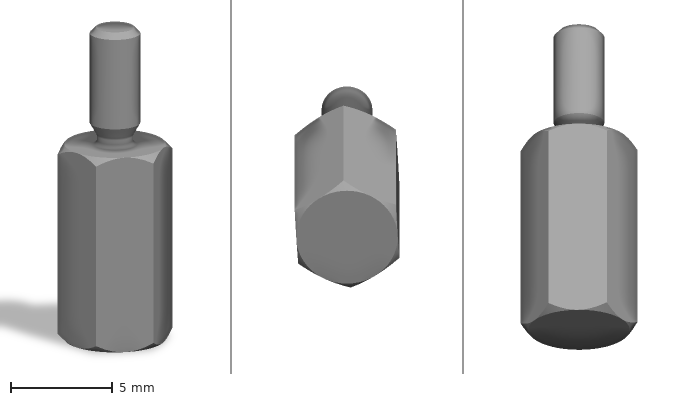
import cadquery as cq
import math

across_flats = 5.0
body_length = 10.0
across_corners = across_flats / math.cos(math.radians(30))
flat_radius = across_flats / 2
corner_radius = across_corners / 2
corner_bevel = corner_radius - flat_radius

stud_radius = 2.5 / 2
stud_length = 6.0
tip_radius = 1.9 / 2
tip_chamfer = stud_radius - tip_radius

neck_radius = 1.8 / 2
groove_length = 1.1
groove_fillet = 0.2
groove_flank_angle = 30


def revolve_about_z(profile):
    """Turn a closed (radius, height) profile around the Z axis."""
    return profile.close().revolve(360, (0, 0, 0), (0, 1, 0))


def make_body():
    """Hexagonal prism with its corners along X, turned to a 45 degree bevel at both ends."""
    prism = cq.Workplane("XY").polygon(6, across_corners).extrude(body_length)
    turned_envelope = revolve_about_z(
        cq.Workplane("XZ")
        .lineTo(flat_radius, 0)
        .lineTo(corner_radius, corner_bevel)
        .lineTo(corner_radius, body_length - corner_bevel)
        .lineTo(flat_radius, body_length)
        .lineTo(0, body_length)
    )
    return prism.intersect(turned_envelope)


def make_stud():
    """Plain stud with a chamfered tip and a filleted relief groove next to the body."""
    flank = math.radians(groove_flank_angle)
    groove_top = body_length + groove_length
    stud_top = body_length + stud_length

    flank_foot = groove_top - (stud_radius - neck_radius) / math.tan(flank)
    upper_tangent = groove_fillet * math.tan(flank / 2)
    upper_start = flank_foot - upper_tangent
    upper_centre_radius = neck_radius + groove_fillet

    def upper_fillet_point(angle):
        return (
            upper_centre_radius - groove_fillet * math.cos(angle),
            upper_start + groove_fillet * math.sin(angle),
        )

    lower_mid_offset = groove_fillet * (1 - math.cos(math.radians(45)))
    return revolve_about_z(
        cq.Workplane("XZ")
        .moveTo(0, body_length)
        .lineTo(neck_radius + groove_fillet, body_length)
        .threePointArc(
            (neck_radius + lower_mid_offset, body_length + lower_mid_offset),
            (neck_radius, body_length + groove_fillet),
        )
        .lineTo(neck_radius, upper_start)
        .threePointArc(upper_fillet_point(flank / 2), upper_fillet_point(flank))
        .lineTo(stud_radius, groove_top)
        .lineTo(stud_radius, stud_top - tip_chamfer)
        .lineTo(tip_radius, stud_top)
        .lineTo(0, stud_top)
    )


result = make_body().union(make_stud())